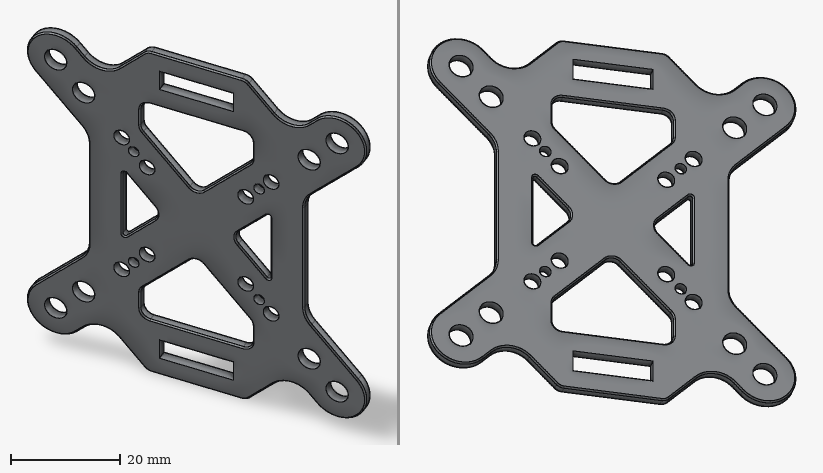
import cadquery as cq
import math

height = 74.0
thickness = 2.0
edge_chamfer = 0.3

lobe_radius = 5.9
lobe_offset = 28.7

waist_half_width = 22.0
waist_fillet = 5.0
top_half_width = 10.1
top_fillet = 2.0
notch_fillet = 5.0

strut_offset = 7.1
window_half_width = 11.5
window_top = 24.95
window_fillet = 2.0
triangle_outer = 15.1
triangle_fillet = 0.45
slot_length = 15.1
slot_height = 4.2
slot_offset = 31.1

diagonal_holes = [
    (lobe_offset, 4.5),
    (23.0, 4.5),
    (15.25, 3.2),
    (12.8, 2.15),
    (10.1, 3.2),
]

half_height = height / 2
lobe_tangent = lobe_radius * math.sqrt(0.5)
lobe_line = lobe_radius * math.sqrt(2)


def rear_face():
    """Sketch plane on the rear face; extruding by the thickness reaches the front face."""
    return cq.Workplane("XZ", origin=(0, thickness / 2, 0))


def prism(points):
    """Closed XZ polygon extruded through the plate thickness."""
    return rear_face().polyline(points).close().extrude(thickness)


def round_corners(body, corners, radius):
    """Fillet the through-thickness edges standing at the given (x, z) corners."""
    for x, z in corners:
        body = body.edges(cq.selectors.NearestToPointSelector((x, 0, z))).fillet(radius)
    return body


def mirrored(x, z):
    """The (x, z) point repeated in all four quadrants."""
    return [(x, z), (-x, z), (-x, -z), (x, -z)]


def make_outline():
    """Octagonal body with four diagonal arms ending in round lobes."""
    top = (top_half_width, half_height)
    notch_x = (top_half_width + half_height - lobe_line) / 2
    notch = (notch_x, notch_x + lobe_line)
    lobe_upper = (lobe_offset - lobe_tangent, lobe_offset + lobe_tangent)
    lobe_lower = (lobe_offset + lobe_tangent, lobe_offset - lobe_tangent)
    waist = (waist_half_width, waist_half_width - lobe_line)

    quadrant = [top, notch, lobe_upper, lobe_lower, waist]
    upper_left = [(-x, z) for x, z in reversed(quadrant)]
    lower_left = [(-x, -z) for x, z in quadrant]
    lower_right = [(x, -z) for x, z in reversed(quadrant)]
    body = prism(quadrant + lower_right + lower_left + upper_left)

    body = round_corners(body, mirrored(*top), top_fillet)
    body = round_corners(body, mirrored(*notch), notch_fillet)
    body = round_corners(body, mirrored(*waist), waist_fillet)
    lobes = (
        rear_face()
        .pushPoints(mirrored(lobe_offset, lobe_offset))
        .circle(lobe_radius)
        .extrude(thickness)
    )
    return body.union(lobes)


def make_window():
    """Upper five-sided window with its apex towards the plate centre."""
    top_corners = [(-window_half_width, window_top), (window_half_width, window_top)]
    shoulder = strut_offset + window_half_width
    side_corners = [(-window_half_width, shoulder), (window_half_width, shoulder)]
    apex = (0, strut_offset)
    left, right = top_corners
    left_shoulder, right_shoulder = side_corners
    window = prism([left, right, right_shoulder, apex, left_shoulder])
    return round_corners(window, top_corners + side_corners + [apex], window_fillet)


def make_triangle():
    """Right-hand triangular window with its apex towards the plate centre."""
    apex = (strut_offset, 0)
    half_base = triangle_outer - strut_offset
    base_corners = [(triangle_outer, half_base), (triangle_outer, -half_base)]
    triangle = prism([apex] + base_corners)
    triangle = round_corners(triangle, base_corners, triangle_fillet)
    return round_corners(triangle, [apex], window_fillet)


def make_plate():
    """Outline with its four windows, chamfered along every edge of both faces."""
    plate = make_outline()
    for cutter in (make_window(), make_triangle()):
        plate = plate.cut(cutter)
        plate = plate.cut(cutter.rotate((0, 0, 0), (0, 1, 0), 180))
    return plate.faces("<Y or >Y").edges().chamfer(edge_chamfer)


def make_slots():
    """Strap slots near the top and bottom edges."""
    centres = [(0, slot_offset), (0, -slot_offset)]
    return rear_face().pushPoints(centres).rect(slot_length, slot_height).extrude(thickness)


def make_holes(offset, diameter):
    """Four equal through holes, one in each quadrant."""
    return rear_face().pushPoints(mirrored(offset, offset)).circle(diameter / 2).extrude(thickness)


result = make_plate().cut(make_slots())
for hole_offset, hole_diameter in diagonal_holes:
    result = result.cut(make_holes(hole_offset, hole_diameter))